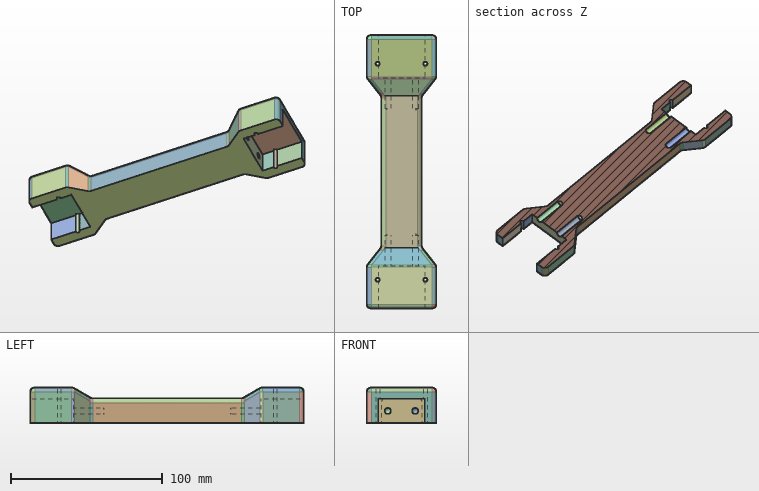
import cadquery as cq
import math

head_width = 46.0
total_length = 180.5
head_height = 23.5

beam_length = 100.0
beam_width = 27.0
beam_height = 16.5
head_length = 28.25
edge_radius = 3.0

select_margin = 0.1

pocket_width = 31.0
pocket_height = 16.0
pocket_depth = head_length

screw_diameter = 2.5
screw_spacing = 31.5
screw_end_distance = 19.0

bolt_diameter = 4.0
bolt_spacing = 18.0
bolt_height = 8.0
bolt_depth = 20.0
drill_point_angle = 118.0

half_length = total_length / 2
shoulder_y = half_length - head_length
waist_y = beam_length / 2


def around_point(x, y, z):
    """Selector for the edge whose centre lies at the given point."""
    low = (x - select_margin, y - select_margin, z - select_margin)
    high = (x + select_margin, y + select_margin, z + select_margin)
    return cq.selectors.BoxSelector(low, high)


def make_body():
    """Dumbbell shape, tapered in width and height.

    All edges are rounded except the underside and the two creases where the
    sloping tops of the tapers meet the top of the beam.
    """
    half_head = head_width / 2
    half_beam = beam_width / 2
    plan = (
        cq.Workplane("XY")
        .polyline([
            (-half_head, -half_length),
            (half_head, -half_length),
            (half_head, -shoulder_y),
            (half_beam, -waist_y),
            (half_beam, waist_y),
            (half_head, shoulder_y),
            (half_head, half_length),
            (-half_head, half_length),
            (-half_head, shoulder_y),
            (-half_beam, waist_y),
            (-half_beam, -waist_y),
            (-half_head, -shoulder_y),
        ])
        .close()
        .extrude(head_height)
    )
    profile = (
        cq.Workplane("YZ")
        .polyline([
            (-half_length, 0), (half_length, 0), (half_length, head_height),
            (shoulder_y, head_height), (waist_y, beam_height), (-waist_y, beam_height),
            (-shoulder_y, head_height), (-half_length, head_height),
        ])
        .close()
        .extrude(half_head, both=True)
    )
    sharp_edges = cq.selectors.StringSyntaxSelector("<Z")
    for crease_y in (-waist_y, waist_y):
        sharp_edges = sharp_edges + around_point(0, crease_y, beam_height)
    rounded_edges = cq.selectors.InverseSelector(sharp_edges)
    return plan.intersect(profile).edges(rounded_edges).fillet(edge_radius)


def make_pocket(end):
    """Rectangular pocket running inwards from one end (-1 or +1 along Y)."""
    pocket_y = end * (half_length - pocket_depth / 2)
    return (
        cq.Workplane("XY")
        .center(0, pocket_y)
        .rect(pocket_width, pocket_depth)
        .extrude(pocket_height)
    )


def make_bolt_hole(x, end):
    """Blind hole with a conical tip, drilled from the pocket end wall towards the middle."""
    radius = bolt_diameter / 2
    tip_length = radius / math.tan(math.radians(drill_point_angle / 2))
    start = cq.Vector(x, end * (half_length - pocket_depth), bolt_height)
    inwards = cq.Vector(0, -end, 0)
    bore = cq.Solid.makeCylinder(radius, bolt_depth, start, inwards)
    tip = cq.Solid.makeCone(radius, 0, tip_length, start + inwards * bolt_depth, inwards)
    return bore.fuse(tip)


def make_screw_hole(x, end):
    """Vertical hole through the full height of a head."""
    return (
        cq.Workplane("XY")
        .center(x, end * (half_length - screw_end_distance))
        .circle(screw_diameter / 2)
        .extrude(head_height)
    )


result = make_body()
for end in (-1, 1):
    result = result.cut(make_pocket(end))
    for side in (-1, 1):
        result = result.cut(make_bolt_hole(side * bolt_spacing / 2, end))
        result = result.cut(make_screw_hole(side * screw_spacing / 2, end))